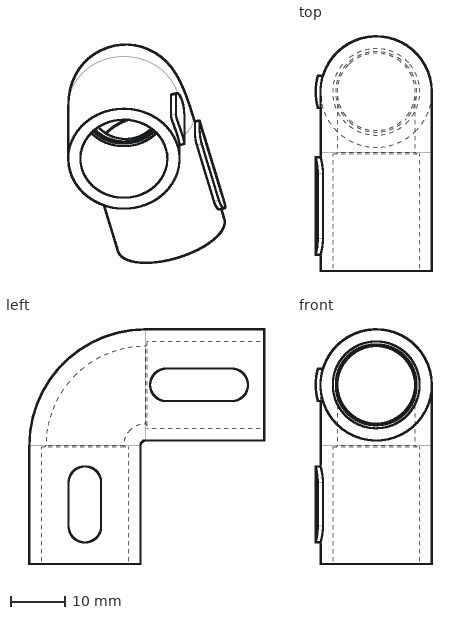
import cadquery as cq
import math

outer_diameter = 20.5
socket_diameter = 16.0
passage_diameter = 14.3
bend_radius = 11.15
overall_length = 43.25

bevel_diameter = 14.9

pad_width = 6.0
pad_rise = 0.9
upright_pad_length = 14.0
upright_pad_from_mouth = 11.0
level_pad_length = 18.0
level_pad_from_mouth = 12.0

outer_radius = outer_diameter / 2
axis_to_mouth = overall_length - outer_radius
straight_length = axis_to_mouth - bend_radius
bevel_depth = (bevel_diameter - passage_diameter) / 2
socket_depth = straight_length - bevel_depth
pad_radius = outer_radius + pad_rise


def to_level_leg(shape):
    """Turn a shape built on the upright leg (mouth at -Z) onto the level leg (mouth at -Y)."""
    return shape.rotate((0, 0, 0), (1, 0, 0), -90)


def leg_cylinder(radius, length):
    """Cylinder on the upright axis, rising from the mouth."""
    return cq.Workplane("XY", origin=(0, 0, -axis_to_mouth)).circle(radius).extrude(length)


def elbow_rod(diameter):
    """Solid round rod following the whole elbow: straight leg, bend, straight leg."""
    bend_midpoint = -bend_radius * (1 - math.sqrt(0.5))
    axis_path = (
        cq.Workplane("YZ")
        .moveTo(0, -axis_to_mouth)
        .lineTo(0, -bend_radius)
        .threePointArc((bend_midpoint, bend_midpoint), (-bend_radius, 0))
        .lineTo(-axis_to_mouth, 0)
    )
    return cq.Workplane("XY", origin=(0, 0, -axis_to_mouth)).circle(diameter / 2).sweep(axis_path)


def socket_bore():
    """Pipe socket of the upright leg with the bevel that leads into the narrower passage."""
    bevel = (
        cq.Workplane("XY", origin=(0, 0, -axis_to_mouth + socket_depth))
        .circle(bevel_diameter / 2)
        .workplane(offset=bevel_depth)
        .circle(passage_diameter / 2)
        .loft()
    )
    return leg_cylinder(socket_diameter / 2, socket_depth).union(bevel)


def raised_pad(length, from_mouth):
    """Round-ended pad on the -X side of the upright leg, long side along the axis."""
    outline = (
        cq.Workplane("YZ", origin=(0, 0, -axis_to_mouth + from_mouth))
        .slot2D(length, pad_width, 90)
        .extrude(-outer_diameter)
    )
    return outline.intersect(leg_cylinder(pad_radius, straight_length))


body = elbow_rod(outer_diameter)
body = body.union(raised_pad(upright_pad_length, upright_pad_from_mouth))
body = body.union(to_level_leg(raised_pad(level_pad_length, level_pad_from_mouth)))

body = body.cut(elbow_rod(passage_diameter))
body = body.cut(socket_bore())
body = body.cut(to_level_leg(socket_bore()))

result = body